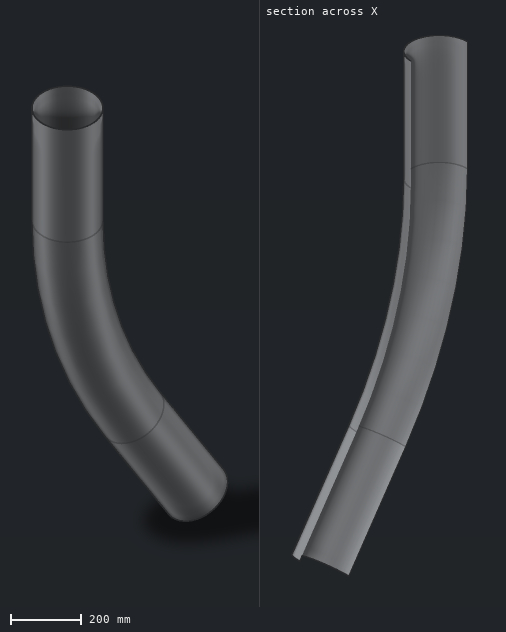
import cadquery as cq
import math

outer_diameter = 203.0
inner_diameter = 200.0

overall_height = 1571.0
leg_length = 404.0
bend_angle = 30.0

sine = math.sin(math.radians(bend_angle))
cosine = math.cos(math.radians(bend_angle))
legs_height = leg_length * (1 + cosine)
end_face_drop = outer_diameter / 2 * sine
bend_radius = (overall_height - legs_height - end_face_drop) / sine


def make_rod(diameter):
    """Solid round bar along the whole centreline, starting at the upper end and going down."""
    upper_leg = cq.Workplane("XY").circle(diameter / 2).extrude(-leg_length)

    bend = (
        cq.Workplane("XY", origin=(0, 0, -leg_length))
        .circle(diameter / 2)
        .revolve(bend_angle, (0, bend_radius, 0), (1, bend_radius, 0))
    )

    bend_end = (0, bend_radius * (1 - cosine), -leg_length - bend_radius * sine)
    leg_direction = (0, sine, -cosine)
    lower_leg = (
        cq.Workplane(cq.Plane(origin=bend_end, xDir=(1, 0, 0), normal=leg_direction))
        .circle(diameter / 2)
        .extrude(leg_length)
    )
    return upper_leg.union(bend).union(lower_leg)


result = make_rod(outer_diameter).cut(make_rod(inner_diameter))